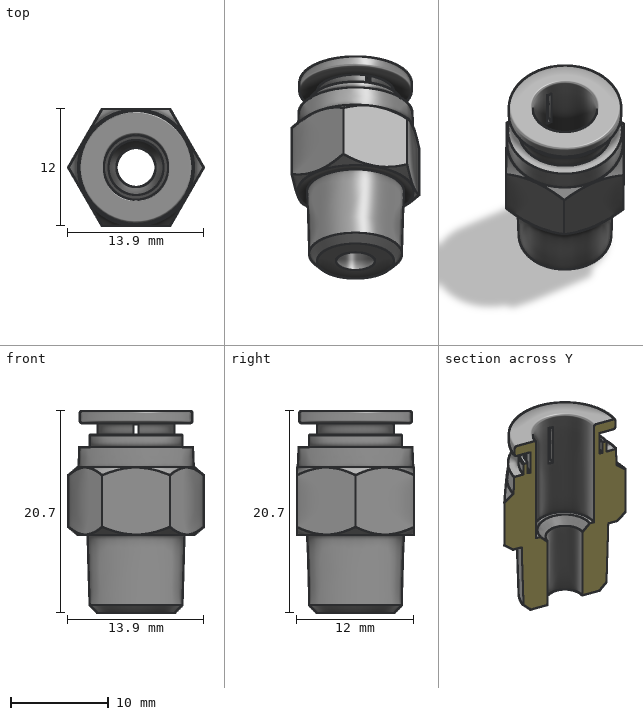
import cadquery as cq
import math

HEIGHT = 20.7
HEX_ACROSS_FLATS = 12.0
HEX_ACROSS_CORNERS = HEX_ACROSS_FLATS / math.cos(math.radians(30))

THREAD_TOP_RADIUS = 4.97
THREAD_TIP_RADIUS = 4.76
THREAD_CHAMFER = 0.83

HEX_BOTTOM_Z = 8.0
HEX_TOP_Z = 14.95
HEX_CHAMFER_RADIUS = 5.95
HEX_CHAMFER_ANGLE = 40.0

COLLAR_BOTTOM_RADIUS = 5.92
COLLAR_TOP_RADIUS = 5.84
COLLAR_TOP_Z = 16.97
SLEEVE_RADIUS = 4.76
SLEEVE_TOP_Z = 18.25
SLEEVE_CHAMFER = 0.08
SLEEVE_INNER_RADIUS = 4.26

NECK_RADIUS = 3.95
FLANGE_RADIUS = 5.78
FLANGE_THICKNESS = 1.28
FLANGE_BOTTOM_Z = HEIGHT - FLANGE_THICKNESS
FLANGE_FILLET = 0.3

SLOT_WIDTH = 0.5
SLOT_TOP_GAP = 0.12
SLOT_TOP_Z = FLANGE_BOTTOM_Z - SLOT_TOP_GAP
SLOT_BOTTOM_Z = HEX_TOP_Z

TUBE_RADIUS = 3.3
TUBE_MOUTH_FILLET = 0.27
TUBE_BOTTOM_Z = 8.7
CONE_TOP_RADIUS = 2.82
PASSAGE_RADIUS = 1.99


def cylinder(radius, bottom_z, top_z):
    return cq.Workplane("XY").workplane(offset=bottom_z).circle(radius).extrude(top_z - bottom_z)


def cone(bottom_radius, bottom_z, top_radius, top_z):
    profile = [(0, bottom_z), (bottom_radius, bottom_z), (top_radius, top_z), (0, top_z)]
    return cq.Workplane("XZ").polyline(profile).close().revolve(360, (0, 0, 0), (0, 1, 0))


def thread_end():
    tip = cone(THREAD_TIP_RADIUS - THREAD_CHAMFER, 0, THREAD_TIP_RADIUS, THREAD_CHAMFER)
    return tip.union(cone(THREAD_TIP_RADIUS, THREAD_CHAMFER, THREAD_TOP_RADIUS, HEX_BOTTOM_Z))


def hexagon():
    """Hexagon with flats facing +Y and -Y and its corners turned off at both ends."""
    prism = (
        cq.Workplane("XY")
        .workplane(offset=HEX_BOTTOM_Z)
        .polygon(6, HEX_ACROSS_CORNERS)
        .extrude(HEX_TOP_Z - HEX_BOTTOM_Z)
    )
    outer_radius = HEX_ACROSS_CORNERS / 2
    drop = (outer_radius - HEX_CHAMFER_RADIUS) * math.tan(math.radians(HEX_CHAMFER_ANGLE))
    profile = [
        (0, HEX_BOTTOM_Z),
        (HEX_CHAMFER_RADIUS, HEX_BOTTOM_Z),
        (outer_radius, HEX_BOTTOM_Z + drop),
        (outer_radius, HEX_TOP_Z - drop),
        (HEX_CHAMFER_RADIUS, HEX_TOP_Z),
        (0, HEX_TOP_Z),
    ]
    turned = cq.Workplane("XZ").polyline(profile).close().revolve(360, (0, 0, 0), (0, 1, 0))
    return prism.intersect(turned)


def collar_and_sleeve():
    """Tapered collar carrying a thin sleeve that clears the neck of the collet."""
    collar = cone(COLLAR_BOTTOM_RADIUS, HEX_TOP_Z, COLLAR_TOP_RADIUS, COLLAR_TOP_Z)
    sleeve = cylinder(SLEEVE_RADIUS, COLLAR_TOP_Z, SLEEVE_TOP_Z).faces(">Z").edges().chamfer(SLEEVE_CHAMFER)
    clearance = cylinder(SLEEVE_INNER_RADIUS, COLLAR_TOP_Z, SLEEVE_TOP_Z)
    return collar.union(sleeve.cut(clearance))


def collet():
    neck = cylinder(NECK_RADIUS, COLLAR_TOP_Z, FLANGE_BOTTOM_Z)
    flange = cylinder(FLANGE_RADIUS, FLANGE_BOTTOM_Z, HEIGHT).edges().fillet(FLANGE_FILLET)
    return neck.union(flange)


def slot():
    """Slot through both walls of the collet along Y, facing the sleeve and collar on the outside."""
    blade_height = SLOT_TOP_Z - SLOT_BOTTOM_Z
    blade = (
        cq.Workplane("XY")
        .workplane(offset=SLOT_BOTTOM_Z)
        .rect(SLOT_WIDTH, 2 * FLANGE_RADIUS)
        .extrude(blade_height)
    )
    return blade.intersect(cylinder(NECK_RADIUS, SLOT_BOTTOM_Z, SLOT_TOP_Z))


def bore():
    """Tube socket with a flat seat, then a countersink into the through passage."""
    cone_bottom_z = TUBE_BOTTOM_Z - (CONE_TOP_RADIUS - PASSAGE_RADIUS)
    passage = cylinder(PASSAGE_RADIUS, 0, cone_bottom_z)
    countersink = cone(PASSAGE_RADIUS, cone_bottom_z, CONE_TOP_RADIUS, TUBE_BOTTOM_Z)
    return passage.union(countersink).union(cylinder(TUBE_RADIUS, TUBE_BOTTOM_Z, HEIGHT))


body = thread_end().union(hexagon()).union(collar_and_sleeve()).union(collet())
body = body.cut(bore()).cut(slot())
tube_mouth = cq.selectors.RadiusNthSelector(0)
result = body.faces(">Z").edges(tube_mouth).fillet(TUBE_MOUTH_FILLET)